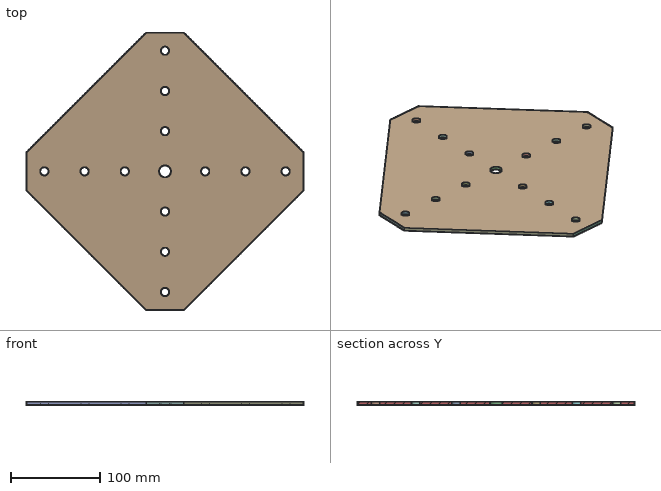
import cadquery as cq

width = 311.0
thickness = 4.0
corner_flat = 42.5
hole_pitch = 45.0
holes_per_arm = 3
hole_diameter = 9.0
center_hole_diameter = 13.0

half_width = width / 2
half_flat = corner_flat / 2
outline = [
    (half_width, -half_flat),
    (half_width, half_flat),
    (half_flat, half_width),
    (-half_flat, half_width),
    (-half_width, half_flat),
    (-half_width, -half_flat),
    (-half_flat, -half_width),
    (half_flat, -half_width),
]
plate = cq.Workplane("XY").polyline(outline).close().extrude(thickness)

hole_points = []
for step in range(1, holes_per_arm + 1):
    reach = step * hole_pitch
    hole_points += [(reach, 0), (-reach, 0), (0, reach), (0, -reach)]

arm_holes = (
    cq.Workplane("XY")
    .pushPoints(hole_points)
    .circle(hole_diameter / 2)
    .extrude(thickness)
)

center_hole = cq.Workplane("XY").circle(center_hole_diameter / 2).extrude(thickness)

result = plate.cut(arm_holes).cut(center_hole)